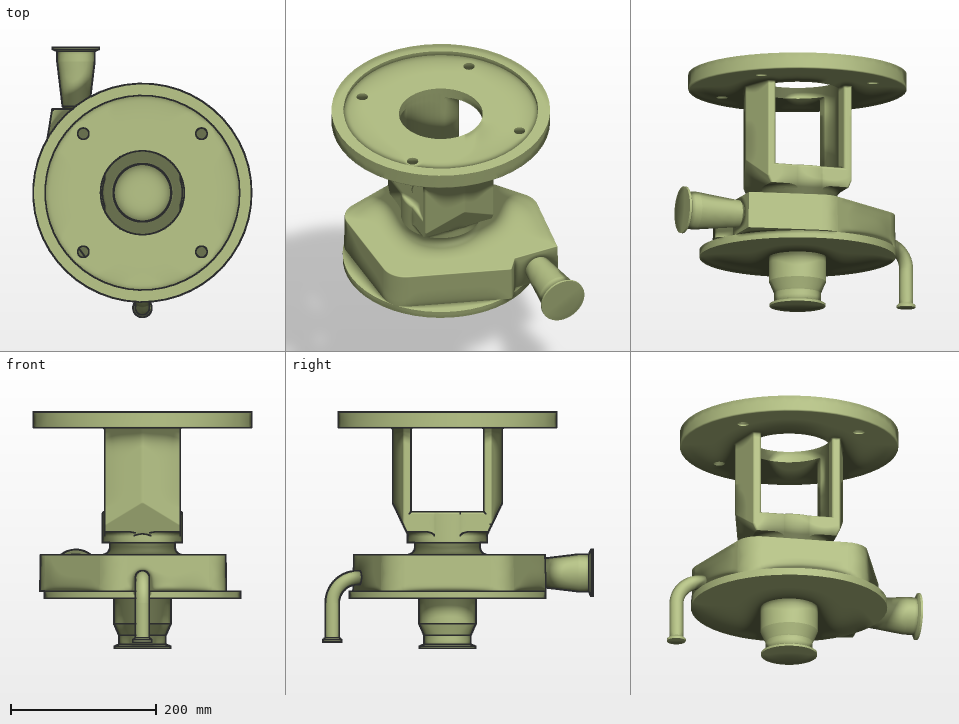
import cadquery as cq
import math

DISC_BOTTOM = 68.5
DISC_THICKNESS = 10.0
CASING_BOTTOM = DISC_BOTTOM + DISC_THICKNESS
CASING_HEIGHT = 50.0
CASING_TOP = CASING_BOTTOM + CASING_HEIGHT
CASING_MIDDLE = CASING_BOTTOM + CASING_HEIGHT / 2
HUB_BOTTOM = 145.3
YOKE_BOTTOM = 160.0
HUB_TOP = 187.5
PLATE_BOTTOM = 302.5
PLATE_THICKNESS = 22.0

PLATE_DIAMETER = 300.0
PLATE_RECESS_RADIUS = 133.5
PLATE_RECESS_DEPTH = 6.5
BOLT_CIRCLE_RADIUS = 114.5
BOLT_HOLE_RADIUS = 7.8
BORE_RADIUS = 57.5

YOKE_HALF_WIDTH = 52.0
LEG_EDGE_Y = 60.5
LEG_RIDGE_Y = 75.5
RIDGE_ROUND = 8.5
LEG_EDGE_ROUND = 2.5
WINDOW_HALF_WIDTH = 49.5
WINDOW_ROUND = 3.5
SLOPE_TOP = 200.0
SLOPE_BOTTOM_Y = 56.5
LEG_TOP_ROUND = 2.0
HUB_RADIUS = 55.0
HUB_ROUND = 5.5
HUB_RECESS_RADIUS = 40.0
HUB_RECESS_DEPTH = 3.7
HUB_RECESS_TAPER = 15.0
NECK_RADIUS = 45.0
NECK_FLARE = 10.5

PENTAGON_APOTHEM = 115.3
CASING_CORNER_ROUND = 34.0
BACK_CORNER_ROUND = 3.7
CASING_TAPER = 1.0
CASING_EDGE_ROUND = 1.0
OUTLET_FACE_Y = 115.0
OUTLET_CORNER_X = -123.8
DISC_RADIUS = 134.5

SUCTION_RADIUS = 39.3
SUCTION_END_RADIUS = 32.3
SUCTION_FLANGE_RADIUS = 38.5
SUCTION_CONE_TOP = 34.0
SUCTION_CONE_BOTTOM = 18.0
OUTLET_X = -91.2
OUTLET_RADIUS = 26.0
OUTLET_ROOT_RADIUS = 18.5
OUTLET_ROOT_ROUND = 3.5
OUTLET_FLANGE_RADIUS = 32.3
OUTLET_CONE_END_Y = 179.8
OUTLET_END_Y = 199.8
DRAIN_RADIUS = 9.5
DRAIN_FLANGE_RADIUS = 13.0
DRAIN_Y = -158.0
DRAIN_TOP = 97.0
DRAIN_END = 9.0
DRAIN_BEND_RADIUS = 34.5
FLANGE_RIM = 3.0
FLANGE_NECK = 3.0


def cylinder(radius, bottom, height):
    return cq.Workplane("XY").workplane(offset=bottom).circle(radius).extrude(height)


def revolved(profile):
    """Turn a closed profile of (radius, height) points about the Z axis."""
    return cq.Workplane("XZ").polyline(profile).close().revolve(360, (0, 0), (0, 1))


def flange_profile(rim_radius, pipe_radius, face):
    """Points of a clamp flange from the axis out: flat face, rim, then a cone down to the pipe."""
    return [
        (0, face),
        (rim_radius, face),
        (rim_radius, face + FLANGE_RIM),
        (pipe_radius, face + FLANGE_RIM + FLANGE_NECK),
    ]


def motor_plate():
    plate = cylinder(PLATE_DIAMETER / 2, PLATE_BOTTOM, PLATE_THICKNESS)
    recess_floor = PLATE_BOTTOM + PLATE_THICKNESS - PLATE_RECESS_DEPTH
    plate = plate.cut(cylinder(PLATE_RECESS_RADIUS, recess_floor, PLATE_RECESS_DEPTH))
    holes = (
        cq.Workplane("XY")
        .workplane(offset=PLATE_BOTTOM)
        .polarArray(BOLT_CIRCLE_RADIUS, 45, 360, 4)
        .circle(BOLT_HOLE_RADIUS)
        .extrude(PLATE_THICKNESS)
    )
    return plate.cut(holes)


def ridged_block():
    """Six-sided block of the two legs, its lower ends cut back at a slope."""
    slope_run = (LEG_RIDGE_Y - SLOPE_BOTTOM_Y) / (SLOPE_TOP - YOKE_BOTTOM)
    foot = YOKE_BOTTOM - HUB_ROUND
    foot_y = SLOPE_BOTTOM_Y - HUB_ROUND * slope_run
    block = (
        cq.Workplane("XY")
        .workplane(offset=foot)
        .polyline([
            (YOKE_HALF_WIDTH, LEG_EDGE_Y),
            (0, LEG_RIDGE_Y),
            (-YOKE_HALF_WIDTH, LEG_EDGE_Y),
            (-YOKE_HALF_WIDTH, -LEG_EDGE_Y),
            (0, -LEG_RIDGE_Y),
            (YOKE_HALF_WIDTH, -LEG_EDGE_Y),
        ])
        .close()
        .extrude(PLATE_BOTTOM - foot)
    )
    side_profile = (
        cq.Workplane("YZ")
        .polyline([
            (foot_y, foot),
            (LEG_RIDGE_Y, SLOPE_TOP),
            (LEG_RIDGE_Y, PLATE_BOTTOM),
            (-LEG_RIDGE_Y, PLATE_BOTTOM),
            (-LEG_RIDGE_Y, SLOPE_TOP),
            (-foot_y, foot),
        ])
        .close()
        .extrude(YOKE_HALF_WIDTH, both=True)
    )
    block = block.edges("|Z and (>Y or <Y)").fillet(RIDGE_ROUND)
    block = block.edges("|Z and (>X or <X)").fillet(LEG_EDGE_ROUND)
    block = block.intersect(side_profile)
    for side in (-1, 1):
        slope_centre = (0, side * (LEG_RIDGE_Y + foot_y) / 2, (SLOPE_TOP + foot) / 2)
        slope = block.faces(cq.selectors.NearestToPointSelector(slope_centre))
        block = slope.edges("not(<Z)").fillet(LEG_EDGE_ROUND)
    return block


def hub_clearance():
    """Space under the legs, hollowed around the hub so that the two meet in a round."""
    foot = YOKE_BOTTOM - HUB_ROUND
    reach = 2 * LEG_RIDGE_Y
    return (
        cq.Workplane("XZ")
        .moveTo(HUB_RADIUS, foot)
        .radiusArc((HUB_RADIUS + HUB_ROUND, YOKE_BOTTOM), HUB_ROUND)
        .lineTo(reach, YOKE_BOTTOM)
        .lineTo(reach, foot)
        .close()
        .revolve(360, (0, 0), (0, 1))
    )


def yoke():
    body = ridged_block().cut(hub_clearance())
    body = body.union(cylinder(HUB_RADIUS, HUB_BOTTOM, HUB_TOP - HUB_BOTTOM))
    window = (
        cq.Workplane("XY")
        .workplane(offset=HUB_TOP)
        .rect(4 * YOKE_HALF_WIDTH, 2 * WINDOW_HALF_WIDTH)
        .extrude(PLATE_BOTTOM - HUB_TOP)
    )
    body = body.cut(window)
    for side in (-1, 1):
        window_rim = cq.selectors.BoxSelector(
            (side * (YOKE_HALF_WIDTH - 0.5), -WINDOW_HALF_WIDTH - 0.5, HUB_TOP - 0.5),
            (side * (HUB_RADIUS + 0.5), WINDOW_HALF_WIDTH + 0.5, PLATE_BOTTOM - 0.5),
        )
        body = body.edges(window_rim).fillet(WINDOW_ROUND)
    recess = (
        cq.Workplane("XY")
        .workplane(offset=HUB_TOP)
        .circle(HUB_RECESS_RADIUS)
        .extrude(-HUB_RECESS_DEPTH, taper=HUB_RECESS_TAPER)
    )
    return body.cut(recess)


def frame():
    """Motor plate and yoke joined by small rounds, with the bore running down to the hub."""
    body = motor_plate().union(yoke())
    leg_tops = cq.selectors.BoxSelector(
        (-YOKE_HALF_WIDTH - 3.7, -LEG_RIDGE_Y - 3.7, PLATE_BOTTOM - 0.5),
        (YOKE_HALF_WIDTH + 3.7, LEG_RIDGE_Y + 3.7, PLATE_BOTTOM + 0.5),
    )
    body = body.edges(leg_tops).fillet(LEG_TOP_ROUND)
    bore_height = PLATE_BOTTOM + PLATE_THICKNESS - HUB_TOP
    return body.cut(cylinder(BORE_RADIUS, HUB_TOP, bore_height))


def neck():
    top_of_flare = CASING_TOP + NECK_FLARE
    return (
        cq.Workplane("XZ")
        .moveTo(0, CASING_TOP)
        .lineTo(NECK_RADIUS + NECK_FLARE, CASING_TOP)
        .radiusArc((NECK_RADIUS, top_of_flare), NECK_FLARE)
        .lineTo(NECK_RADIUS, HUB_BOTTOM)
        .lineTo(0, HUB_BOTTOM)
        .close()
        .revolve(360, (0, 0), (0, 1))
    )


def casing():
    circumradius = PENTAGON_APOTHEM / math.cos(math.pi / 5)
    corners = []
    for angle in (180, 252, 324, 36, 108):
        turn = math.radians(angle)
        corners.append((circumradius * math.cos(turn), circumradius * math.sin(turn)))
    back = corners[-1]
    notch_x = back[0] - (back[1] - OUTLET_FACE_Y) / math.tan(math.radians(54))
    outline = corners + [(notch_x, OUTLET_FACE_Y), (OUTLET_CORNER_X, OUTLET_FACE_Y)]
    sketch = cq.Sketch().polygon(outline + outline[:1])
    rounds = [CASING_CORNER_ROUND] * 4 + [BACK_CORNER_ROUND]
    for corner, radius in zip(corners, rounds):
        nearest = cq.selectors.NearestToPointSelector((*corner, 0))
        sketch = sketch.vertices(nearest).fillet(radius).reset()
    block = (
        cq.Workplane("XY")
        .workplane(offset=CASING_BOTTOM)
        .placeSketch(sketch)
        .extrude(CASING_HEIGHT, taper=CASING_TAPER)
    )
    outlet_edge = cq.selectors.NearestToPointSelector((OUTLET_X, OUTLET_FACE_Y, CASING_TOP))
    rounded_edges = cq.selectors.InverseSelector(outlet_edge)
    block = block.faces(">Z").edges(rounded_edges).fillet(CASING_EDGE_ROUND)
    return block.union(cylinder(DISC_RADIUS, DISC_BOTTOM, DISC_THICKNESS))


def suction_pipe():
    profile = flange_profile(SUCTION_FLANGE_RADIUS, SUCTION_END_RADIUS, 0) + [
        (SUCTION_END_RADIUS, SUCTION_CONE_BOTTOM),
        (SUCTION_RADIUS, SUCTION_CONE_TOP),
        (SUCTION_RADIUS, DISC_BOTTOM),
        (0, DISC_BOTTOM),
    ]
    return revolved(profile)


def outlet_pipe():
    """Tapered pipe built upright from its flange, then laid along Y."""
    length = OUTLET_END_Y - OUTLET_FACE_Y
    overlap = 3.7
    profile = flange_profile(OUTLET_FLANGE_RADIUS, OUTLET_RADIUS, 0) + [
        (OUTLET_RADIUS, OUTLET_END_Y - OUTLET_CONE_END_Y),
        (OUTLET_ROOT_RADIUS, length - OUTLET_ROOT_ROUND),
        (OUTLET_ROOT_RADIUS - OUTLET_ROOT_ROUND, length),
        (OUTLET_ROOT_RADIUS - OUTLET_ROOT_ROUND, length + overlap),
        (0, length + overlap),
    ]
    pipe = revolved(profile).rotate((0, 0, 0), (1, 0, 0), 90)
    return pipe.translate((OUTLET_X, OUTLET_END_Y, CASING_MIDDLE))


def drain_pipe():
    bend_start_y = DRAIN_Y + DRAIN_BEND_RADIUS
    bend_end_z = DRAIN_TOP - DRAIN_BEND_RADIUS
    inside_casing_y = bend_start_y + 18.5
    path = (
        cq.Workplane("YZ")
        .moveTo(inside_casing_y, DRAIN_TOP)
        .lineTo(bend_start_y, DRAIN_TOP)
        .radiusArc((DRAIN_Y, bend_end_z), -DRAIN_BEND_RADIUS)
        .lineTo(DRAIN_Y, DRAIN_END)
    )
    pipe = cq.Workplane("XZ", origin=(0, inside_casing_y, DRAIN_TOP)).circle(DRAIN_RADIUS).sweep(path)
    profile = flange_profile(DRAIN_FLANGE_RADIUS, DRAIN_RADIUS, DRAIN_END)
    profile = profile + [(0, profile[-1][1])]
    return pipe.union(revolved(profile).translate((0, DRAIN_Y, 0)))


result = frame().union(neck()).union(casing())
for pipe in (suction_pipe(), outlet_pipe(), drain_pipe()):
    result = result.union(pipe)